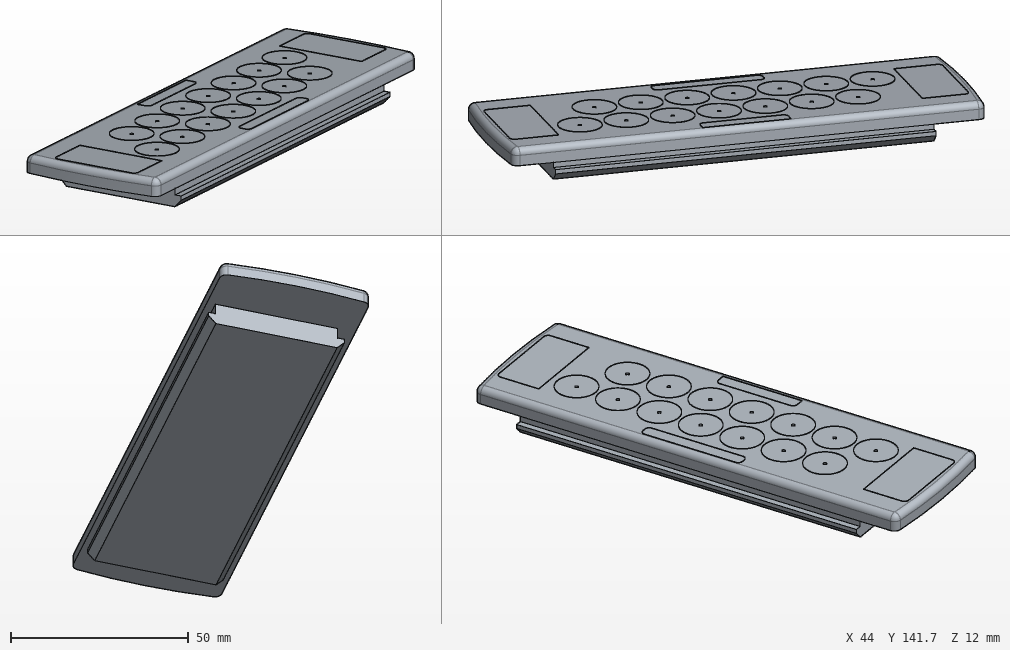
import cadquery as cq

LENGTH = 141.7
WIDTH = 44.0
HEIGHT = 12.0
PLATE_THICKNESS = 5.1
END_BULGE = 1.3
CORNER_RADIUS = 2.1
TOP_ROUND = 2.0

BASE_LENGTH = 112.2
BASE_CENTER_X = 1.4
NECK_WIDTH = 36.1
HOOK_OVERHANG = 2.0
HOOK_HEIGHT = 3.5
HOOK_LIP = 1.3
FOOT_WIDTH = 35.9

MARK_DEPTH = 0.1
MARK_CORNER = 1.4
LABEL_WIDTH = 27.0
LABEL_LENGTH = 14.0
LABEL_CENTER_Y = 60.7
STRIP_WIDTH = 4.0
STRIP_CENTER_X = 17.6
LEFT_STRIP_LENGTH = 26.1
RIGHT_STRIP_LENGTH = 32.9

MEMBRANE_DIAMETER = 12.6
COLUMN_SPAN = 82.0
MEMBRANES_PER_COLUMN = 7
COLUMN_CENTER_X = 6.8
COLUMN_SHIFT = 4.3
PIN_DIAMETER = 1.0
PIN_DEPTH = 0.7

PLATE_BOTTOM = HEIGHT - PLATE_THICKNESS
MEMBRANE_PITCH = COLUMN_SPAN / (MEMBRANES_PER_COLUMN - 1)


def cover_plate():
    """Long plate with straight sides, curved ends and a rounded top edge."""
    side = WIDTH / 2
    tip = LENGTH / 2
    shoulder = tip - END_BULGE
    return (
        cq.Workplane("XY", origin=(0, 0, PLATE_BOTTOM))
        .moveTo(-side, -shoulder)
        .threePointArc((0, -tip), (side, -shoulder))
        .lineTo(side, shoulder)
        .threePointArc((0, tip), (-side, shoulder))
        .close()
        .extrude(PLATE_THICKNESS)
        .edges("|Z")
        .fillet(CORNER_RADIUS)
        .faces(">Z")
        .edges()
        .fillet(TOP_ROUND)
    )


def snap_base():
    """Bar along Y with a neck under the plate and a sloped hook on each side."""
    neck = NECK_WIDTH / 2
    hook = neck + HOOK_OVERHANG
    foot = FOOT_WIDTH / 2
    slope_top = HOOK_HEIGHT - HOOK_LIP
    right_half = [
        (foot, 0),
        (hook, slope_top),
        (hook, HOOK_HEIGHT),
        (neck, HOOK_HEIGHT),
        (neck, PLATE_BOTTOM),
    ]
    left_half = [(-x, z) for x, z in reversed(right_half)]
    return (
        cq.Workplane("XZ", origin=(BASE_CENTER_X, 0, 0))
        .polyline(right_half + left_half)
        .close()
        .extrude(BASE_LENGTH / 2, both=True)
    )


def mark(width, length, x, y, rounded_edges):
    """Shallow rectangular recess in the top face with the chosen corners rounded."""
    return (
        cq.Workplane("XY", origin=(x, y, HEIGHT - MARK_DEPTH))
        .rect(width, length)
        .extrude(MARK_DEPTH)
        .edges(rounded_edges)
        .fillet(MARK_CORNER)
    )


def round_cutters(diameter, depth):
    """One disc sunk into the top face at every membrane position."""
    centers = []
    for side in (-1, 1):
        for row in range(MEMBRANES_PER_COLUMN):
            y = row * MEMBRANE_PITCH - COLUMN_SPAN / 2 - side * COLUMN_SHIFT
            centers.append((side * COLUMN_CENTER_X, y))
    return (
        cq.Workplane("XY", origin=(0, 0, HEIGHT - depth))
        .pushPoints(centers)
        .circle(diameter / 2)
        .extrude(depth)
    )


body = cover_plate().union(snap_base())

body = body.cut(mark(LABEL_WIDTH, LABEL_LENGTH, 0, LABEL_CENTER_Y, "|Z and >Y"))
body = body.cut(mark(LABEL_WIDTH, LABEL_LENGTH, 0, -LABEL_CENTER_Y, "|Z and <Y"))

body = body.cut(mark(STRIP_WIDTH, LEFT_STRIP_LENGTH, -STRIP_CENTER_X, 0, "|Z and >X"))
body = body.cut(mark(STRIP_WIDTH, RIGHT_STRIP_LENGTH, STRIP_CENTER_X, 0, "|Z"))

body = body.cut(round_cutters(MEMBRANE_DIAMETER, MARK_DEPTH))
result = body.cut(round_cutters(PIN_DIAMETER, PIN_DEPTH))